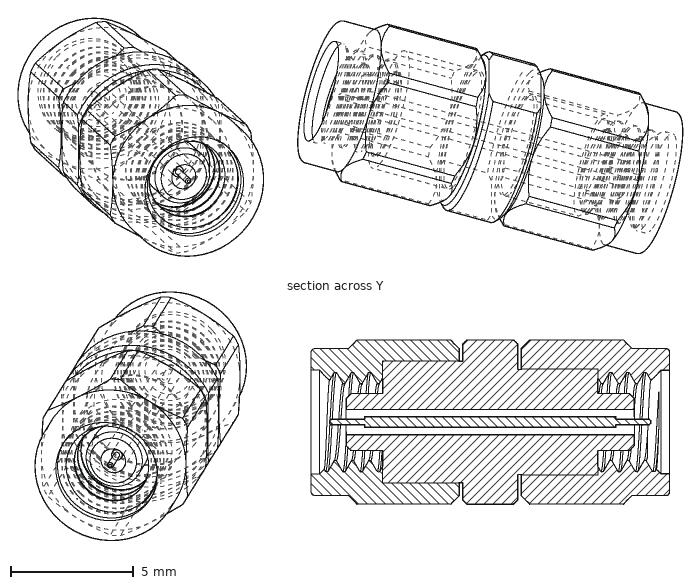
import cadquery as cq
import math

overall_length = 14.6
across_flats = 6.0
corner_diameter = 6.7
end_x = overall_length / 2
flat_radius = across_flats / 2
corner_radius = corner_diameter / 2

nut_inner_x = 1.25
collar_length = 1.52
collar_fillet = 0.15
mouth_radius = 2.1
mouth_depth = 0.35

thread_minor_radius = 1.56
thread_major_radius = 2.01
thread_pitch = 0.7
thread_root_width = 0.09
thread_end_depth = 2.92
thread_start_depth = -0.06
thread_flank_angle = 30
groove_overcut = 0.03

flange_length = 2.25
flange_chamfer = 0.18
left_barrel_radius = 2.15
right_barrel_radius = 2.48
snout_radius = 1.17
snout_chamfer = 0.2
snout_depth = 1.43
bore_radius = 0.51

pin_radius = 0.22
pin_tip_radius = 0.12
pin_tip_chamfer = 0.06
pin_tip_depth = 0.76
pin_step_depth = 2.19

shoulder_x = end_x - thread_end_depth


def x_cylinder(radius, x_start, x_end):
    """Solid cylinder around the X axis."""
    return cq.Workplane("YZ", origin=(x_start, 0, 0)).circle(radius).extrude(x_end - x_start)


def make_thread_groove():
    """Right-handed V groove for the nut at -X, running from outside its mouth into its cavity."""
    groove_height = thread_major_radius - thread_minor_radius + groove_overcut
    half_root = thread_root_width / 2
    half_width = half_root + groove_height * math.tan(math.radians(thread_flank_angle))
    turns = math.ceil((thread_end_depth + half_width - thread_start_depth) / thread_pitch)
    helix = cq.Wire.makeHelix(thread_pitch, turns * thread_pitch, thread_major_radius)
    groove = (
        cq.Workplane("XZ")
        .moveTo(thread_major_radius, -half_root)
        .lineTo(thread_major_radius, half_root)
        .lineTo(thread_major_radius - groove_height, half_width)
        .lineTo(thread_major_radius - groove_height, -half_width)
        .close()
        .sweep(cq.Workplane(obj=helix), isFrenet=True)
    )
    return groove.rotate((0, 0, 0), (0, 1, 0), 90).translate((thread_start_depth - end_x, 0, 0))


def make_nut(barrel_radius):
    """Hexagonal nut at the -X end, with a round collar, a threaded bore and a cavity for the barrel."""
    hex_start_x = collar_length - end_x
    corner_drop = corner_radius - flat_radius
    outside = (
        cq.Workplane("XY")
        .moveTo(-end_x, 0)
        .lineTo(-end_x, flat_radius - collar_fillet)
        .radiusArc((collar_fillet - end_x, flat_radius), collar_fillet)
        .lineTo(hex_start_x, flat_radius)
        .lineTo(hex_start_x + corner_drop, corner_radius)
        .lineTo(-nut_inner_x - corner_drop, corner_radius)
        .lineTo(-nut_inner_x, flat_radius)
        .lineTo(-nut_inner_x, 0)
        .close()
        .revolve(360, (0, 0, 0), (1, 0, 0))
    )
    hexagon = (
        cq.Workplane("YZ", origin=(-end_x, 0, 0))
        .polygon(6, across_flats, circumscribed=True)
        .extrude(end_x - nut_inner_x)
    )
    mouth_end_x = mouth_depth - end_x
    countersink_end_x = mouth_end_x + mouth_radius - thread_minor_radius
    inside = (
        cq.Workplane("XY")
        .moveTo(-end_x, 0)
        .lineTo(-end_x, mouth_radius)
        .lineTo(mouth_end_x, mouth_radius)
        .lineTo(countersink_end_x, thread_minor_radius)
        .lineTo(-shoulder_x, thread_minor_radius)
        .lineTo(-shoulder_x, barrel_radius)
        .lineTo(-nut_inner_x, barrel_radius)
        .lineTo(-nut_inner_x, 0)
        .close()
        .revolve(360, (0, 0, 0), (1, 0, 0))
    )
    plain_bore = x_cylinder(thread_minor_radius, -end_x, -nut_inner_x)
    threaded_blank = outside.intersect(hexagon).cut(plain_bore).cut(make_thread_groove())
    return threaded_blank.cut(inside)


def make_body():
    """Flange with two flats, a barrel and a snout towards each end, and a bore through it all."""
    flange_end = flange_length / 2
    flange = x_cylinder(corner_radius, -flange_end, flange_end).faces("<X or >X").chamfer(flange_chamfer)
    flats = cq.Workplane("XY").box(flange_length, across_flats, corner_diameter)
    snout_x = end_x - snout_depth
    snout = x_cylinder(snout_radius, -snout_x, snout_x).faces("<X or >X").chamfer(snout_chamfer)
    left_barrel = x_cylinder(left_barrel_radius, -shoulder_x, 0)
    right_barrel = x_cylinder(right_barrel_radius, 0, shoulder_x)
    body = flange.intersect(flats).union(left_barrel).union(right_barrel).union(snout)
    return body.cut(x_cylinder(bore_radius, -snout_x, snout_x))


def make_pin():
    """Stepped centre pin with chamfered thin tips, standing clear of the bore wall."""
    tip_x = end_x - pin_tip_depth
    step_x = end_x - pin_step_depth
    tips = x_cylinder(pin_tip_radius, -tip_x, tip_x).faces("<X or >X").chamfer(pin_tip_chamfer)
    return x_cylinder(pin_radius, -step_x, step_x).union(tips)


nuts = []
for barrel_radius, turn_angle in ((left_barrel_radius, 0), (right_barrel_radius, 180)):
    nuts.append(make_nut(barrel_radius).rotate((0, 0, 0), (0, 0, 1), turn_angle))
body = make_body()
pin = make_pin()

result = cq.Compound.makeCompound([*[nut.val() for nut in nuts], body.val(), pin.val()])